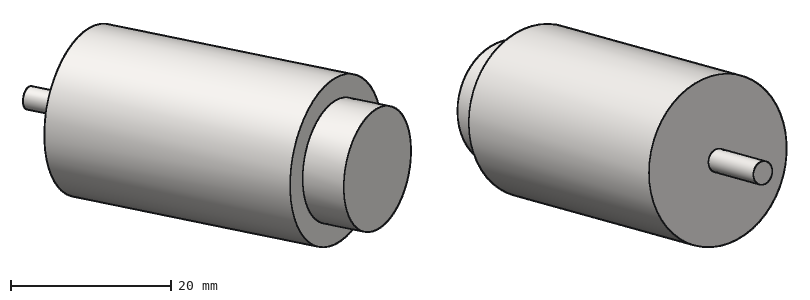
import cadquery as cq

overall_length = 51.0
shaft_length = 9.0
shaft_diameter = 3.0
body_length = 36.0
body_diameter = 22.0
rear_cap_diameter = 16.0

rear_cap_length = overall_length - shaft_length - body_length


def cylinder_along_x(start_x, length, diameter):
    """Solid cylinder on the X axis, from start_x towards +X."""
    return cq.Workplane("YZ", origin=(start_x, 0, 0)).circle(diameter / 2).extrude(length)


shaft = cylinder_along_x(-shaft_length, shaft_length, shaft_diameter)
body = cylinder_along_x(0, body_length, body_diameter)
rear_cap = cylinder_along_x(body_length, rear_cap_length, rear_cap_diameter)

result = body.union(shaft).union(rear_cap)